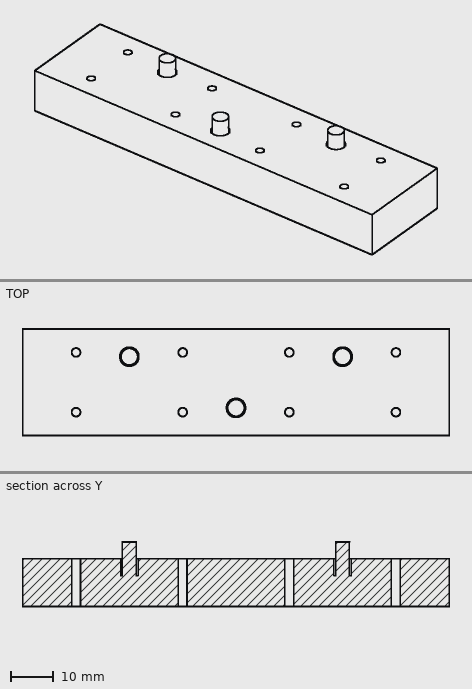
import cadquery as cq

block_length = 100.0
block_width = 25.0
block_height = 11.3

hole_diameter = 2.0
holes_per_row = 4
hole_pitch = block_length / holes_per_row
hole_row_spacing = 14.0

pin_diameter = 3.9
pin_projection = 3.9
pin_pitch = block_length / 4
pin_offset_y = 6.0
recess_diameter = 4.5
recess_depth = 4.0

pin_centers = [
    (-pin_pitch, pin_offset_y),
    (0, -pin_offset_y),
    (pin_pitch, pin_offset_y),
]


def make_block():
    """Rectangular base block."""
    return cq.Workplane("XY").box(block_length, block_width, block_height, centered=(True, True, False))


def drill_through_holes(body):
    """Two rows of evenly spaced holes through the full height."""
    return (
        body.faces(">Z").workplane()
        .rarray(hole_pitch, hole_row_spacing, holes_per_row, 2)
        .hole(hole_diameter)
    )


def make_cylinders(diameter, length):
    """Cylinders at the pin centers, rising from the recess floor."""
    return (
        cq.Workplane("XY").workplane(offset=block_height - recess_depth)
        .pushPoints(pin_centers)
        .circle(diameter / 2)
        .extrude(length)
    )


recesses = make_cylinders(recess_diameter, recess_depth)
pins = make_cylinders(pin_diameter, recess_depth + pin_projection)
result = drill_through_holes(make_block()).cut(recesses).union(pins)